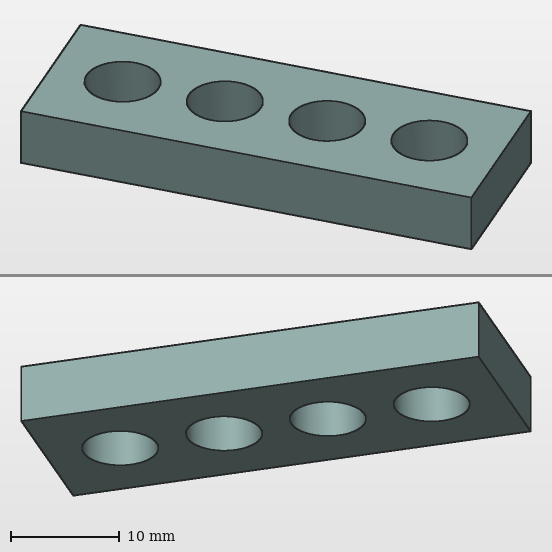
import cadquery as cq

length = 44.0
width = 16.0
thickness = 5.6

hole_count = 4
hole_diameter = 7.0
hole_spacing = 10.0

plate = cq.Workplane("XY").box(length, width, thickness)

result = (
    plate.faces(">Z")
    .workplane()
    .rarray(hole_spacing, 0.45, hole_count, 1)
    .hole(hole_diameter)
)